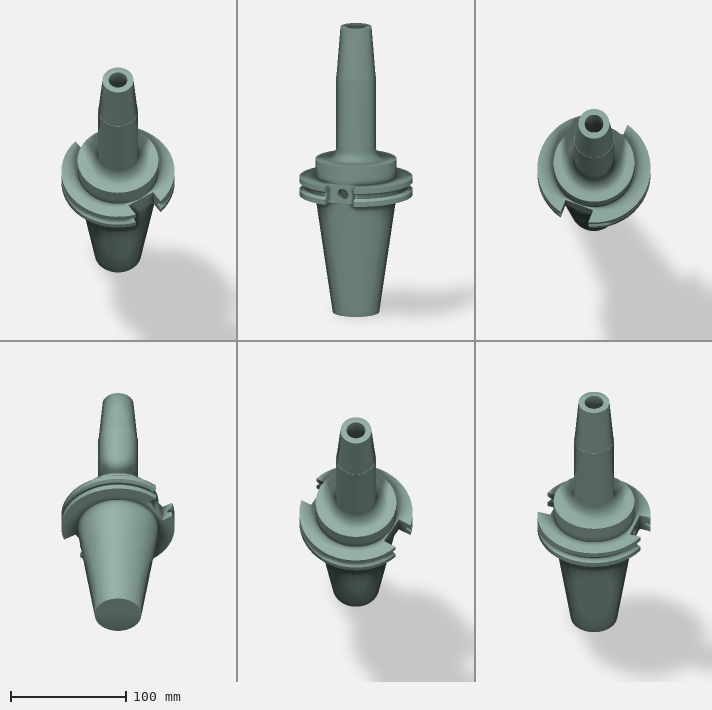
import cadquery as cq

total_height = 254.0
taper_top = 101.5
flange_bottom = 104.6
flange_top = 120.6
hub_top = 136.7
nose_bottom = 209.5

taper_ratio = 7 / 24
hub_radius = 35.0
taper_end_radius = hub_radius - taper_top * taper_ratio / 2
flange_radius = 98.3 / 2
neck_radius = 17.3
nose_base_radius = 17.0
nose_tip_radius = 13.5
neck_fillet = 10.0

flange_middle = (flange_bottom + flange_top) / 2
groove_depth = 4.5
groove_bevel_depth = 2.8
groove_mouth_width = 7.0
groove_width = 3.5

slot_width = 25.7
slot_floor_left = 37.5
slot_floor_right = 35.5
side_hole_diameter = 10.2
side_hole_depth = 10.2

bore_diameter = 16.3
bore_depth = 50.8


def turned_body():
    """Taper, flange, hub, neck and nose revolved about Z."""
    profile = (
        cq.Workplane("XZ")
        .lineTo(taper_end_radius, 0)
        .lineTo(hub_radius, taper_top)
        .lineTo(hub_radius, flange_bottom)
        .lineTo(flange_radius, flange_bottom)
        .lineTo(flange_radius, flange_middle - groove_mouth_width / 2)
        .lineTo(flange_radius - groove_bevel_depth, flange_middle - groove_width / 2)
        .lineTo(flange_radius - groove_depth, flange_middle - groove_width / 2)
        .lineTo(flange_radius - groove_depth, flange_middle + groove_width / 2)
        .lineTo(flange_radius - groove_bevel_depth, flange_middle + groove_width / 2)
        .lineTo(flange_radius, flange_middle + groove_mouth_width / 2)
        .lineTo(flange_radius, flange_top)
        .lineTo(hub_radius, flange_top)
        .lineTo(hub_radius, hub_top)
        .lineTo(neck_radius + neck_fillet, hub_top)
        .radiusArc((neck_radius, hub_top + neck_fillet), neck_fillet)
        .lineTo(neck_radius, nose_bottom)
        .lineTo(nose_base_radius, nose_bottom)
        .lineTo(nose_tip_radius, total_height)
        .lineTo(0, total_height)
        .close()
    )
    return profile.revolve(360, (0, 0, 0), (0, 1, 0))


def drive_slot(side, floor_distance):
    """Cutter from a slot floor out past the flange; side is -1 or +1 along X."""
    length = flange_radius
    return (
        cq.Workplane("XY", origin=(side * (floor_distance + length / 2), 0, flange_bottom))
        .rect(length, slot_width)
        .extrude(flange_top - flange_bottom)
    )


def side_hole():
    """Blind hole going inward from the -X slot floor."""
    return (
        cq.Workplane("YZ", origin=(-slot_floor_left, 0, flange_middle))
        .circle(side_hole_diameter / 2)
        .extrude(side_hole_depth)
    )


def tool_bore():
    """Blind bore going down from the nose tip."""
    return (
        cq.Workplane("XY", origin=(0, 0, total_height))
        .circle(bore_diameter / 2)
        .extrude(-bore_depth)
    )


result = (
    turned_body()
    .cut(drive_slot(-1, slot_floor_left))
    .cut(drive_slot(1, slot_floor_right))
    .cut(side_hole())
    .cut(tool_bore())
)